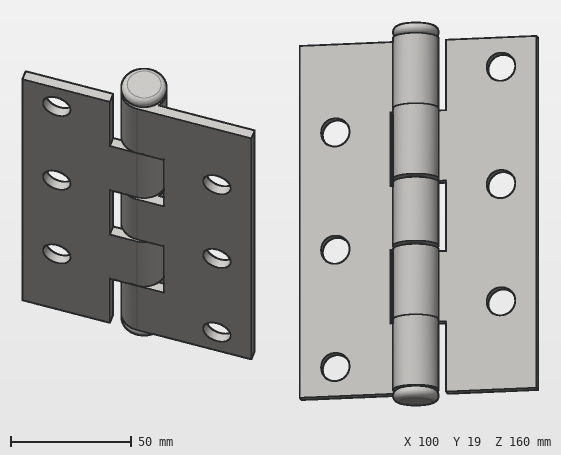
import cadquery as cq

total_height = 160.0
open_width = 100.0
leaf_height = 150.0
leaf_thickness = 4.5

knuckle_diameter = 19.0
knuckle_radius = knuckle_diameter / 2
pin_radius = knuckle_radius - leaf_thickness
knuckle_count = 5
knuckle_pitch = leaf_height / knuckle_count
middle_knuckle_gap = 1.5
side_clearance = 2.2
notch_depth = knuckle_radius + side_clearance
head_height = (total_height - leaf_height) / 2
head_rim_radius = head_height / 2

hole_diameter = 12.0
hole_edge_distance = 15.0
holes_per_leaf = 3
hole_pitch = leaf_height / holes_per_leaf
hole_end_distance = hole_pitch / 4

half_height = leaf_height / 2
leaf_reach = open_width / 2
hole_offset = leaf_reach - hole_edge_distance
leaf_front = -knuckle_radius

knuckle_edges = [-half_height + i * knuckle_pitch for i in range(knuckle_count + 1)]
middle_range = (knuckle_edges[2] + middle_knuckle_gap, knuckle_edges[3] - middle_knuckle_gap)
left_knuckles = [(knuckle_edges[1], knuckle_edges[2]), (knuckle_edges[3], knuckle_edges[4])]
right_knuckles = [(knuckle_edges[0], knuckle_edges[1]), middle_range, (knuckle_edges[4], knuckle_edges[5])]


def slab(inner, outer, bottom, top, side):
    """Flat piece of leaf spanning two distances from the axis, on side -1 (left) or +1 (right)."""
    return (
        cq.Workplane("XY")
        .box(outer - inner, leaf_thickness, top - bottom, centered=(True, False, False))
        .translate((side * (inner + outer) / 2, leaf_front, bottom))
    )


def cylinder(radius, bottom, top):
    return cq.Workplane("XY").workplane(offset=bottom).circle(radius).extrude(top - bottom)


def make_leaf(side, knuckle_ranges, lowest_hole):
    """Plate with tabs that run tangentially into bored knuckles, plus a row of screw holes."""
    leaf = slab(notch_depth, leaf_reach, -half_height, half_height, side)
    for bottom, top in knuckle_ranges:
        leaf = leaf.union(slab(0, notch_depth, bottom, top, side))
        leaf = leaf.union(cylinder(knuckle_radius, bottom, top))
    leaf = leaf.cut(cylinder(pin_radius, -half_height, half_height))

    hole_centers = [(side * hole_offset, lowest_hole + i * hole_pitch) for i in range(holes_per_leaf)]
    holes = (
        cq.Workplane("XZ", origin=(0, leaf_front, 0))
        .pushPoints(hole_centers)
        .circle(hole_diameter / 2)
        .extrude(-leaf_thickness)
    )
    return leaf.cut(holes)


def make_head(bottom):
    """Disc with a half-round rim, revolved about the hinge axis."""
    flat_radius = knuckle_radius - head_rim_radius
    return (
        cq.Workplane("XZ")
        .moveTo(0, bottom)
        .lineTo(flat_radius, bottom)
        .threePointArc((knuckle_radius, bottom + head_rim_radius), (flat_radius, bottom + head_height))
        .lineTo(0, bottom + head_height)
        .close()
        .revolve(360, (0, 0, 0), (0, 1, 0))
    )


def make_pin():
    """Shaft filling the knuckle bores, with a rounded head at each end."""
    pin = cylinder(pin_radius, -half_height, half_height)
    for bottom in (-total_height / 2, half_height):
        pin = pin.union(make_head(bottom))
    return pin


left_lowest_hole = half_height - hole_end_distance - (holes_per_leaf - 1) * hole_pitch
right_lowest_hole = -half_height + hole_end_distance

left_leaf = make_leaf(-1, left_knuckles, left_lowest_hole)
right_leaf = make_leaf(1, right_knuckles, right_lowest_hole)
pin = make_pin()

result = cq.Compound.makeCompound([left_leaf.solids().val(), right_leaf.solids().val(), pin.solids().val()])